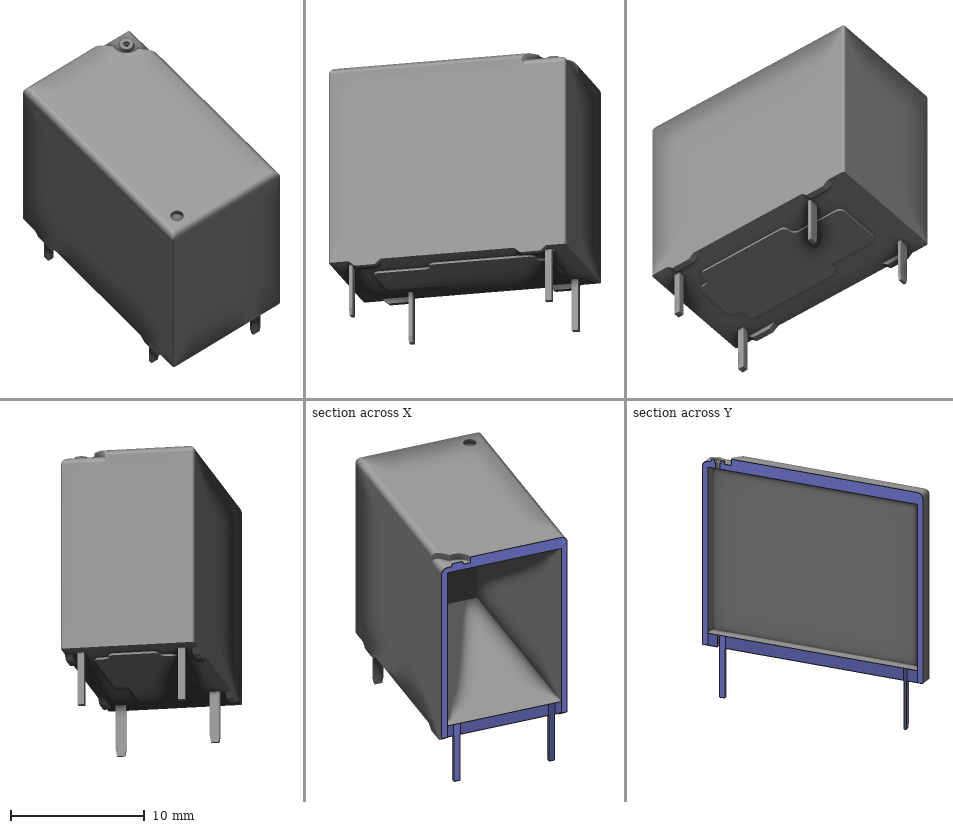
import cadquery as cq


length = 18.4
width = 10.2
height = 15.3
wall = 0.5
roof = 1.0
top_fillet = 0.5
side_fillet = 0.2

foot_height = 0.39
foot_spacing = 12.82
foot_root_length = 2.47
foot_tip_length = 1.55

corner_leg = 3.4
corner_depth = 0.5
bulge_radius = 1.1
post_inset = 1.3
post_base_diameter = 1.2
post_top_diameter = 1.0
post_height = 0.25
vent_top_diameter = 0.5
vent_bottom_diameter = 0.3

marker_diameter = 1.0
marker_depth = 0.39
marker_inset = 1.5

base_thickness = 1.0
pad_height = 0.15
pad_corner_radius = 0.48
pad_step = 1.0
pad_half_width = 3.15
pad_tongue_half_width = 1.93
pad_shoulder_x = -6.18
pad_narrowing_x = 2.03
pad_end_x = 6.56

overall_height = 19.3
tip_depth = overall_height - height
pin_row_spacing = 7.68
coil_pin_x = -7.55
coil_pin_size = 0.5
blade_shortening = 0.08
blade_width = 0.8
blade_taper = 0.1
blade_taper_height = 0.5
middle_blade_x = 5.15
middle_blade_thickness = 0.3
end_blade_x = 7.7
end_blade_thickness = 0.25

slot_width = 0.12

post_x = post_inset - length / 2
post_y = width / 2 - post_inset
pin_rows = [-pin_row_spacing / 2, pin_row_spacing / 2]


def upright_box(size_x, size_y, z_bottom, z_top):
    """Box centred in X and Y between two heights."""
    box = cq.Workplane("XY").workplane(offset=z_bottom).rect(size_x, size_y)
    return box.extrude(z_top - z_bottom)


def rounded_block(z_top):
    """Solid outer block with rounded top edges and rounded upright edges."""
    block = upright_box(length, width, 0, z_top)
    block = block.faces(">Z").edges().fillet(top_fillet)
    return block.edges("|Z").fillet(side_fillet)


def corner_zone(z_bottom):
    """Region of the stepped corner: a triangle plus a round bulge about the post."""
    left = -length / 2
    back = width / 2
    triangle = (
        cq.Workplane("XY")
        .workplane(offset=z_bottom)
        .polyline([(left, back), (left + corner_leg, back), (left, back - corner_leg)])
        .close()
        .extrude(height - z_bottom)
    )
    bulge = (
        cq.Workplane("XY")
        .workplane(offset=z_bottom)
        .center(post_x, post_y)
        .circle(bulge_radius)
        .extrude(height - z_bottom)
    )
    return triangle.union(bulge)


def feet():
    """Four tapered feet, two under each long wall."""
    root = foot_root_length / 2
    tip = foot_tip_length / 2
    outline = [(-root, 0), (-tip, -foot_height), (tip, -foot_height), (root, 0)]
    solids = []
    for x in (-foot_spacing / 2, foot_spacing / 2):
        for wall_back in (width / 2, wall - width / 2):
            foot = (
                cq.Workplane("XZ", origin=(x, wall_back, 0))
                .polyline(outline)
                .close()
                .extrude(wall)
            )
            solids.append(foot)
    return solids


def make_housing():
    """Hollow cover, open below, with feet, a stepped corner, vent post and marker recess."""
    floor_z = height - corner_depth
    zone = corner_zone(floor_z - top_fillet)
    body = rounded_block(height).cut(zone)
    body = body.union(rounded_block(floor_z).intersect(zone))

    post = (
        cq.Workplane("XY", origin=(post_x, post_y, floor_z))
        .circle(post_base_diameter / 2)
        .workplane(offset=post_height)
        .circle(post_top_diameter / 2)
        .loft()
    )
    marker = (
        cq.Workplane("XY", origin=(length / 2 - marker_inset, marker_inset - width / 2, height))
        .circle(marker_diameter / 2)
        .extrude(-marker_depth)
    )
    vent_mouth = (
        cq.Workplane("XY", origin=(post_x, post_y, floor_z))
        .circle(vent_top_diameter / 2)
        .extrude(post_height)
    )
    vent = (
        cq.Workplane("XY", origin=(post_x, post_y, height - roof))
        .circle(vent_bottom_diameter / 2)
        .extrude(roof)
    )
    cavity = upright_box(length - 2 * wall, width - 2 * wall, 0, height - roof)
    body = body.union(post).cut(marker).cut(cavity).cut(vent_mouth).cut(vent)
    for foot in feet():
        body = body.union(foot)
    return body


def make_coil_pin(y):
    """Square pin at the -X end."""
    return (
        cq.Workplane("XY", origin=(coil_pin_x, y, base_thickness))
        .rect(coil_pin_size, coil_pin_size)
        .extrude(-base_thickness - tip_depth)
    )


def blade_tip_wedge(side):
    """Sloping cutter that narrows a blade tip on its +Y (1) or -Y (-1) side."""
    half = blade_width / 2
    tip_z = blade_shortening - tip_depth
    return (
        cq.Workplane("YZ")
        .polyline(
            [
                (side * half, tip_z + blade_taper_height),
                (side * (half - blade_taper), tip_z),
                (side * half, tip_z),
            ]
        )
        .close()
        .extrude(blade_width, both=True)
    )


def make_blade_pin(x, y, thickness, rounded=False):
    """Flat pin, wide in Y, with a narrowed tip; the -Y side is flat or fully rounded."""
    half = thickness / 2
    side_y = -blade_width / 2
    tip_z = blade_shortening - tip_depth
    plan = cq.Workplane("XY").workplane(offset=tip_z)
    if rounded:
        plan = plan.moveTo(-half, side_y + half).threePointArc((0, side_y), (half, side_y + half))
    else:
        plan = plan.moveTo(-half, side_y).lineTo(half, side_y)
    plan = plan.lineTo(half, -side_y).lineTo(-half, -side_y).close()
    blade = plan.extrude(base_thickness - tip_z)
    for side in (-1, 1):
        blade = blade.cut(blade_tip_wedge(side))
    return blade.translate((x, y, 0))


def make_pad():
    """Shallow pad, stepped in plan: a tongue at -X and a narrower part at +X."""
    narrow_half_width = pad_half_width - pad_step
    half_outline = [
        (pad_shoulder_x - pad_step, pad_tongue_half_width),
        (pad_shoulder_x, pad_tongue_half_width),
        (pad_shoulder_x, pad_half_width),
        (pad_narrowing_x, pad_half_width),
        (pad_narrowing_x, narrow_half_width),
        (pad_end_x, narrow_half_width),
    ]
    mirrored = [(x, -y) for x, y in reversed(half_outline)]
    pad = cq.Workplane("XY").polyline(half_outline + mirrored).close().extrude(-pad_height)
    return pad.edges("|Z").fillet(pad_corner_radius)


def make_base(pins):
    """Plate that fills the mouth of the cover, with a hole for each pin."""
    plate = upright_box(length - 2 * wall, width - 2 * wall, 0, base_thickness)
    slot_x = coil_pin_x - coil_pin_size / 2 - slot_width / 2
    slot = (
        cq.Workplane("XY", origin=(slot_x, pin_rows[1], 0))
        .rect(slot_width, coil_pin_size)
        .extrude(base_thickness)
    )
    body = plate.union(make_pad()).cut(slot)
    for pin in pins:
        body = body.cut(pin)
    return body


housing = make_housing()
coil_pins = [make_coil_pin(y) for y in pin_rows]
middle_blade = make_blade_pin(middle_blade_x, pin_rows[0], middle_blade_thickness, rounded=True)
end_blade = make_blade_pin(end_blade_x, pin_rows[1], end_blade_thickness)
pins = coil_pins + [middle_blade, end_blade]
base = make_base(pins)

result = cq.Compound.makeCompound([housing.val(), base.val(), *[pin.val() for pin in pins]])